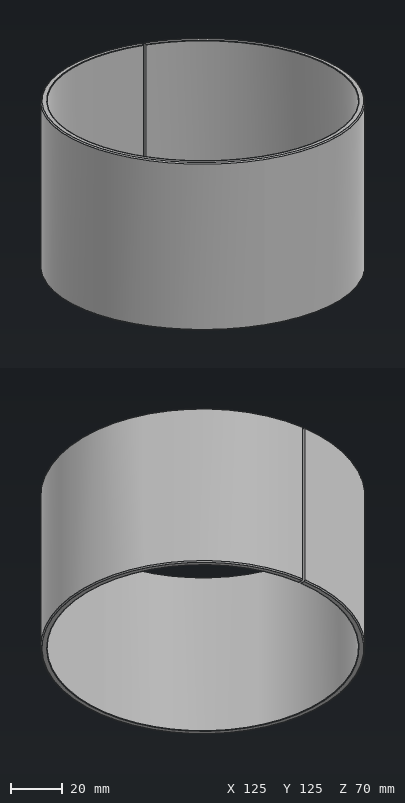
import cadquery as cq

outer_diameter = 125.0
height = 70.0
wall = 2.5
outer_chamfer = 0.5
inner_chamfer = 0.2
slit_width = 1.1

outer_radius = outer_diameter / 2
inner_radius = outer_radius - wall

drum = cq.Workplane("XY").circle(outer_radius).extrude(height)
drum = drum.faces("|Z").edges().chamfer(outer_chamfer)

bore = cq.Workplane("XY").circle(inner_radius).extrude(height)
sleeve = drum.cut(bore)

bore_rims = sleeve.faces("|Z").edges(cq.selectors.RadiusNthSelector(0))
sleeve = bore_rims.chamfer(inner_chamfer)

slit_cutter = (
    cq.Workplane("XY")
    .moveTo(-outer_radius, slit_width / 2)
    .rect(4 * wall, slit_width)
    .extrude(height)
)

result = sleeve.cut(slit_cutter)